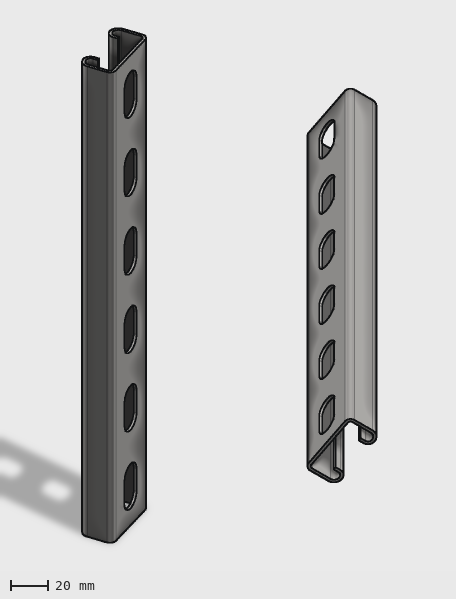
import cadquery as cq
import math

length = 304.8
width = 41.0
depth = 20.7
thickness = 1.8

back_bend_radius = 3.7
front_bend_radius = 5.2
lip_bend_radius = 4.3
front_flat = 0.3
lip_drop = front_bend_radius + front_flat + lip_bend_radius
lip_reach = 7.3

slot_count = 6
slot_pitch = length / slot_count
slot_length = 28.5
slot_width = 14.0

front_x = -depth / 2
back_x = depth / 2
side_y = width / 2


def channel_half():
    """Half of the bent strip on the +Y side, from the lip to the middle of the back."""
    front_bend_x = front_x + front_bend_radius
    front_bend_y = side_y - front_bend_radius
    lip_y = side_y - lip_drop
    lip_bend_x = front_x + lip_bend_radius
    lip_bend_y = lip_y + lip_bend_radius
    lip_end_x = front_x + lip_reach
    back_bend_x = back_x - back_bend_radius
    back_bend_y = side_y - back_bend_radius
    inner_side_y = side_y - thickness
    inner_front_x = front_x + thickness
    inner_back_x = back_x - thickness
    inner_lip_y = lip_y + thickness

    def bend_middle(center_x, center_y, radius, x_sign, y_sign):
        """Middle of a quarter-circle bend that faces the given diagonal direction."""
        offset = radius * math.sqrt(0.5)
        return (center_x + x_sign * offset, center_y + y_sign * offset)

    def back_bend(radius):
        return bend_middle(back_bend_x, back_bend_y, radius, 1, 1)

    def front_bend(radius):
        return bend_middle(front_bend_x, front_bend_y, radius, -1, 1)

    def lip_bend(radius):
        return bend_middle(lip_bend_x, lip_bend_y, radius, -1, -1)

    return (
        cq.Workplane("XY", origin=(0, 0, -length / 2))
        .moveTo(back_x, 0)
        .lineTo(back_x, back_bend_y)
        .threePointArc(back_bend(back_bend_radius), (back_bend_x, side_y))
        .lineTo(front_bend_x, side_y)
        .threePointArc(front_bend(front_bend_radius), (front_x, front_bend_y))
        .lineTo(front_x, lip_bend_y)
        .threePointArc(lip_bend(lip_bend_radius), (lip_bend_x, lip_y))
        .lineTo(lip_end_x, lip_y)
        .lineTo(lip_end_x, inner_lip_y)
        .lineTo(lip_bend_x, inner_lip_y)
        .threePointArc(lip_bend(lip_bend_radius - thickness), (inner_front_x, lip_bend_y))
        .lineTo(inner_front_x, front_bend_y)
        .threePointArc(front_bend(front_bend_radius - thickness), (front_bend_x, inner_side_y))
        .lineTo(back_bend_x, inner_side_y)
        .threePointArc(back_bend(back_bend_radius - thickness), (inner_back_x, back_bend_y))
        .lineTo(inner_back_x, 0)
        .close()
        .extrude(length)
    )


def slot_cutters():
    """Upright slots evenly spaced along the back wall."""
    return (
        cq.Workplane("YZ", origin=(back_x - thickness, 0, 0))
        .rarray(3, slot_pitch, 1, slot_count)
        .slot2D(slot_length, slot_width, 90)
        .extrude(thickness)
    )


half = channel_half()
channel = half.union(half.mirror("XZ")).clean()
result = channel.cut(slot_cutters())